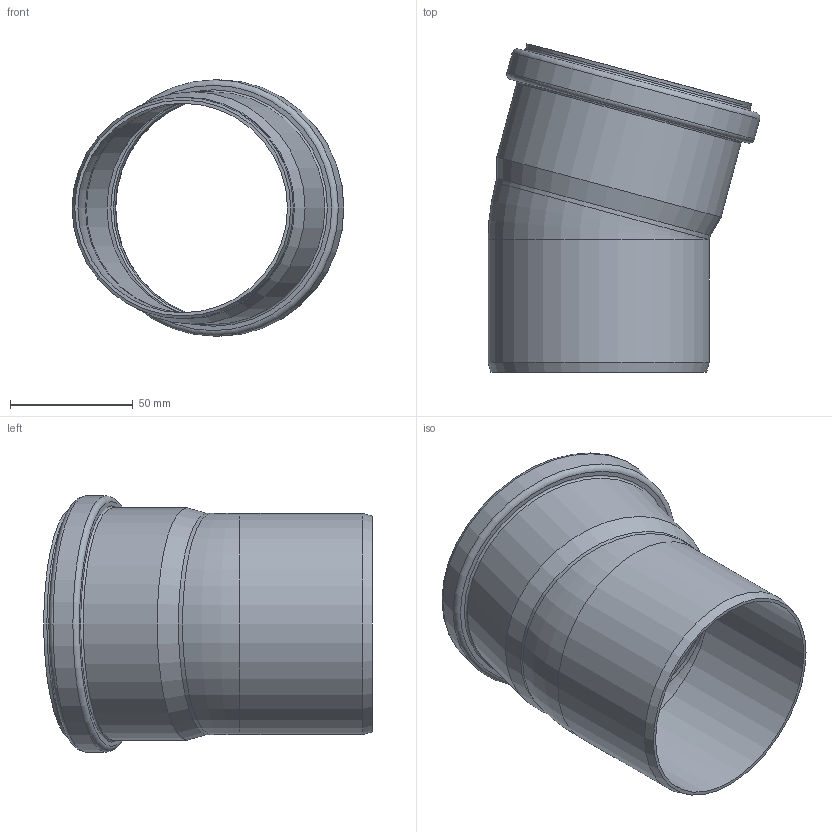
import cadquery as cq
import math


spigot_radius = 90.2 / 2
bore_radius = 85.44 / 2
spigot_length = 54.0
spigot_chamfer_length = 4.0
spigot_chamfer_angle = 15.0

bend_angle = 15.0
bend_inside_radius = 0.1
bend_radius = spigot_radius + bend_inside_radius

socket_wall = 2.1
socket_radius = 94.7 / 2
rim_radius = 95.0 / 2
bead_radius = 104.5 / 2
bead_fillet = 2.2
neck_fillet = 0.85

flare_start = 1.75
flare_end = 10.1
bead_start = 42.2
bead_end = 55.0
lip_flare_start = 56.7
socket_length = 58.0


def revolve_about_y(profile):
    """Full turn of a (radius, station) profile about the Y axis."""
    return profile.close().revolve(360, (0, 0, 0), (0, 1, 0))


def make_spigot():
    """Straight pipe with a tapered lead-in at its open end."""
    taper = spigot_chamfer_length * math.tan(math.radians(spigot_chamfer_angle))
    profile = (
        cq.Workplane("XY")
        .moveTo(bore_radius, 0)
        .lineTo(spigot_radius - taper, 0)
        .lineTo(spigot_radius, spigot_chamfer_length)
        .lineTo(spigot_radius, spigot_length)
        .lineTo(bore_radius, spigot_length)
    )
    return revolve_about_y(profile)


def make_bend():
    """Pipe section turned about an axis along Z on its +X side."""
    ring = cq.Workplane("XZ").circle(spigot_radius).circle(bore_radius)
    bend = ring.revolve(bend_angle, (bend_radius, 0, 0), (bend_radius, -1, 0))
    return bend.translate((0, spigot_length, 0))


def fillet_rim(body, radius, station, size):
    """Fillet the circular edge that has the given radius and station."""

    def is_rim(edge):
        return math.isclose(edge.radius(), radius) and math.isclose(edge.Center().y, station)

    return body.edges("%CIRCLE").filter(is_rim).fillet(size)


def make_socket_body():
    """Solid outside form of the socket, with the rounded bead."""
    profile = (
        cq.Workplane("XY")
        .moveTo(0, 0)
        .lineTo(spigot_radius, 0)
        .lineTo(spigot_radius, flare_start)
        .lineTo(socket_radius, flare_end)
        .lineTo(socket_radius, bead_start)
        .lineTo(bead_radius, bead_start)
        .lineTo(bead_radius, bead_end)
        .lineTo(socket_radius, bead_end)
        .lineTo(socket_radius, lip_flare_start)
        .lineTo(rim_radius, socket_length)
        .lineTo(0, socket_length)
    )
    body = revolve_about_y(profile)
    for station in (bead_start, bead_end):
        body = fillet_rim(body, socket_radius, station, neck_fillet)
        body = fillet_rim(body, bead_radius, station, bead_fillet)
    return body


def make_socket_cavity():
    """Inside form of the socket, with the seal groove behind the bead."""
    inner_radius = socket_radius - socket_wall
    groove_radius = bead_radius - socket_wall
    groove_start = bead_start + socket_wall
    groove_end = bead_end - socket_wall
    profile = (
        cq.Workplane("XY")
        .moveTo(0, 0)
        .lineTo(bore_radius, 0)
        .lineTo(bore_radius, flare_start)
        .lineTo(inner_radius, flare_end)
        .lineTo(inner_radius, groove_start)
        .lineTo(groove_radius, groove_start)
        .lineTo(groove_radius, groove_end)
        .lineTo(inner_radius, groove_end)
        .lineTo(inner_radius, lip_flare_start)
        .lineTo(rim_radius - socket_wall, socket_length)
        .lineTo(0, socket_length)
    )
    cavity = revolve_about_y(profile)
    for station in (groove_start, groove_end):
        cavity = fillet_rim(cavity, inner_radius, station, neck_fillet)
    return cavity


def make_socket():
    """Hollow socket, placed at the end of the bend and tilted with it."""
    socket = make_socket_body().cut(make_socket_cavity()).translate((0, spigot_length, 0))
    bend_centre = (bend_radius, spigot_length, 0)
    bend_axis_end = (bend_radius, spigot_length, 1)
    return socket.rotate(bend_centre, bend_axis_end, -bend_angle)


result = make_spigot().union(make_bend()).union(make_socket())